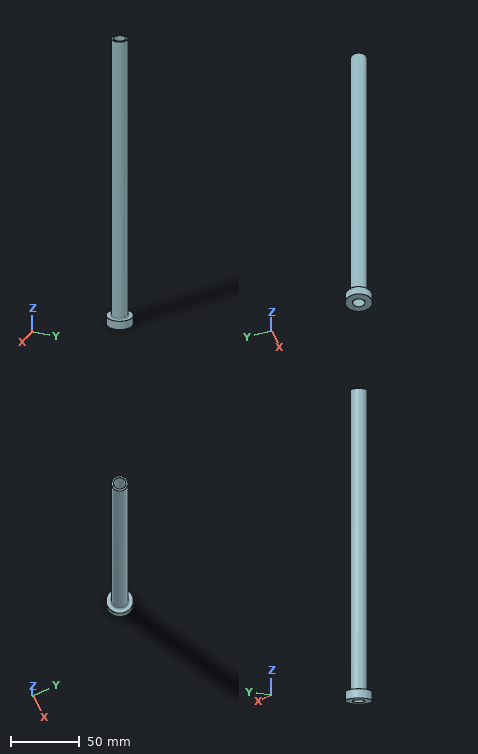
import cadquery as cq

total_length = 232.0
head_diameter = 20.0
head_height = 7.0
shank_diameter = 12.0
bore_diameter = 9.0
neck_fillet_radius = 0.7

head = cq.Workplane("XY").circle(head_diameter / 2).extrude(head_height)

shank = cq.Workplane("XY").circle(shank_diameter / 2).extrude(total_length)

body = head.union(shank)
shoulder = body.faces(cq.selectors.NearestToPointSelector((0, 0, head_height)))
neck_edge = shoulder.edges(cq.selectors.RadiusNthSelector(0))
body = neck_edge.fillet(neck_fillet_radius)

bore = cq.Workplane("XY").circle(bore_diameter / 2).extrude(total_length)

result = body.cut(bore)